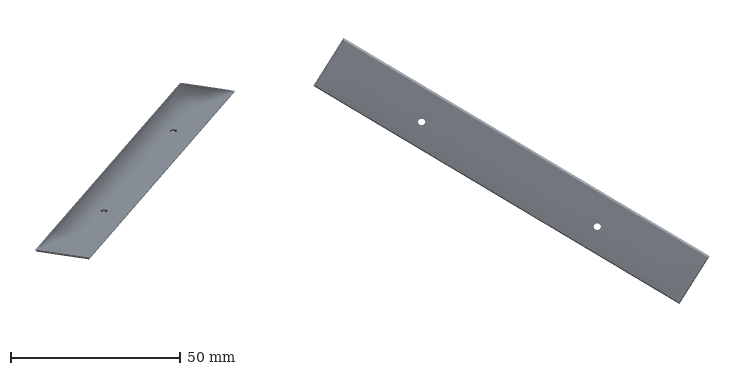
import cadquery as cq

length = 127.0
width = 17.0
thickness = 0.8
bottom_chamfer = thickness / 2

hole_diameter = 2.2
hole_offset_x = 1.1
hole_spacing = 61.0

plate = (
    cq.Workplane("XY")
    .box(width, length, thickness, centered=(True, True, False))
    .faces("<Z")
    .edges()
    .chamfer(bottom_chamfer)
)

hole_points = [(hole_offset_x, side * hole_spacing / 2) for side in (-1, 1)]
result = (
    plate.faces(">Z")
    .workplane(origin=(0, 0, thickness))
    .pushPoints(hole_points)
    .hole(hole_diameter)
)